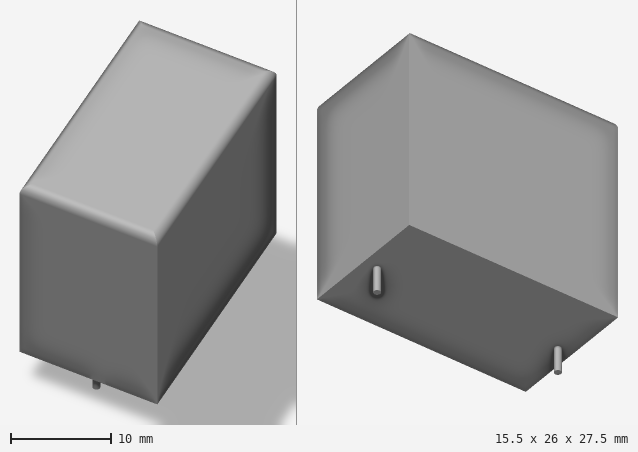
import cadquery as cq

width = 15.5
depth = 26.0
total_height = 27.5

pin_length = 3.0
pin_diameter = 0.8
pin_spacing = 22.5

body_height = total_height - pin_length
top_edge_radius = 1.0


def make_body():
    """Box with its four top edges rounded and its upright edges sharp."""
    box = cq.Workplane("XY").box(width, depth, body_height, centered=(True, True, False))
    return box.faces(">Z").edges().fillet(top_edge_radius)


def make_pins():
    """Two leads on the Y centreline, hanging from the base."""
    pin_centres = [(0, -pin_spacing / 2), (0, pin_spacing / 2)]
    return cq.Workplane("XY").pushPoints(pin_centres).circle(pin_diameter / 2).extrude(-pin_length)


result = make_body().union(make_pins())